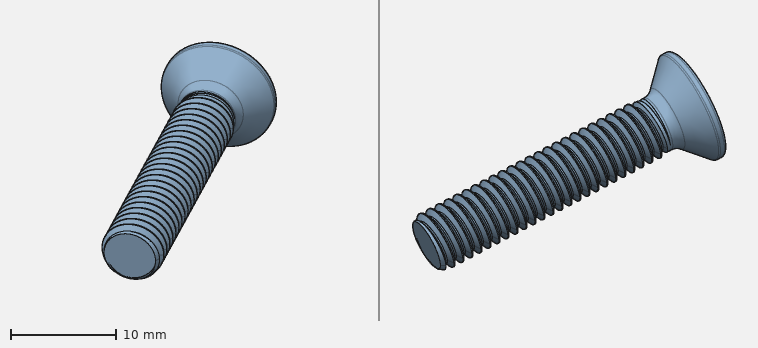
import cadquery as cq
import math

screw_length = 30.0

head_radius = 5.65
rim_height = 0.82
rim_top_round = 0.28
rim_bottom_round = 0.23
cone_half_angle = math.radians(45)
neck_radius = 2.8
neck_fillet_end = 4.3

thread_radius = 3.0
pitch = 1.0
flank_half_angle = math.radians(30)
thread_triangle_height = pitch * math.sqrt(3) / 2
thread_depth = 17 / 24 * thread_triangle_height
root_radius = thread_radius - thread_depth
crest_flat = pitch / 8
crest_phase = 0.29 * pitch
ridge_embed = 0.1
turns_per_segment = 1
crest_clearance = 0.2

runout_start = 4.55
runout_step = 4.83
runout_step_radius = 2.7
runout_end = 5.0

lead_in_start = 5.2
lead_in_slope = 0.5

tip_radius = 2.55
tip_chamfer_angle = math.radians(30)


def revolve_about_axis(profile):
    """Close a half profile and turn it about the screw axis."""
    return profile.close().revolve(360, (0, 0, 0), (0, 1, 0))


def make_core():
    """Head, neck and thread core, without the thread ridge."""
    corner_depth = rim_height + (head_radius - neck_radius) / math.tan(cone_half_angle)
    tangent_length = neck_fillet_end - corner_depth
    fillet_radius = tangent_length / math.tan(cone_half_angle / 2)
    cone_end_radius = neck_radius + tangent_length * math.sin(cone_half_angle)
    cone_end_depth = corner_depth - tangent_length * math.cos(cone_half_angle)
    fillet_mid_radius = neck_radius + fillet_radius * (1 - math.cos(cone_half_angle / 2))
    fillet_mid_depth = neck_fillet_end - fillet_radius * math.sin(cone_half_angle / 2)
    core = revolve_about_axis(
        cq.Workplane("XY")
        .lineTo(head_radius, 0)
        .lineTo(head_radius, -rim_height)
        .lineTo(cone_end_radius, -cone_end_depth)
        .threePointArc((fillet_mid_radius, -fillet_mid_depth), (neck_radius, -neck_fillet_end))
        .lineTo(neck_radius, -runout_start)
        .lineTo(runout_step_radius, -runout_step)
        .lineTo(root_radius, -runout_end)
        .lineTo(root_radius, -screw_length)
        .lineTo(0, -screw_length)
    )
    core = core.faces(">Y").edges().fillet(rim_top_round)
    rim_bottom = cq.selectors.NearestToPointSelector((0, -rim_height, head_radius))
    return core.edges(rim_bottom).fillet(rim_bottom_round)


def make_envelope():
    """Space the thread ridge may fill, bounded by the neck, the lead-in cone and the tip chamfer."""
    clear_radius = thread_radius + crest_clearance
    lead_in_length = (clear_radius - neck_radius) / lead_in_slope
    tip_chamfer_length = (clear_radius - tip_radius) / math.tan(tip_chamfer_angle)
    return revolve_about_axis(
        cq.Workplane("XY")
        .moveTo(0, -runout_start)
        .lineTo(neck_radius, -runout_start)
        .lineTo(neck_radius, -lead_in_start)
        .lineTo(clear_radius, -lead_in_start - lead_in_length)
        .lineTo(clear_radius, -screw_length + tip_chamfer_length)
        .lineTo(tip_radius, -screw_length)
        .lineTo(0, -screw_length)
    )


def helix_at(radius, offset):
    """Helix edge of one ridge segment, raised along +Z by the offset."""
    return cq.Wire.makeHelix(pitch, turns_per_segment * pitch, radius).translate(cq.Vector(0, 0, offset))


def make_ridge_segment():
    """A short length of the thread ridge about +Z, with helical faces between the profile corners."""
    inner_radius = root_radius - ridge_embed
    crest_half = crest_flat / 2
    base_half = crest_half + (thread_radius - inner_radius) * math.tan(flank_half_angle)
    corners = [
        (inner_radius, -base_half),
        (thread_radius, -crest_half),
        (thread_radius, crest_half),
        (inner_radius, base_half),
    ]
    helices = [helix_at(radius, offset) for radius, offset in corners]
    following = helices[1:] + helices[:1]
    faces = [cq.Face.makeRuledSurface(first, second) for first, second in zip(helices, following)]
    for end_height in (0, turns_per_segment * pitch):
        points = [cq.Vector(radius, 0, offset + end_height) for radius, offset in corners]
        faces.append(cq.Face.makeFromWires(cq.Wire.makePolygon(points, close=True)))
    segment = cq.Solid.makeSolid(cq.Shell.makeShell(faces))
    return cq.Workplane(segment).rotate((0, 0, 0), (1, 0, 0), -90)


def add_thread(screw):
    """Stack ridge segments from just beyond the tip up to the neck and join them to the screw."""
    segment = make_ridge_segment()
    envelope = make_envelope()
    segment_length = turns_per_segment * pitch
    ridge_start = -screw_length + crest_phase - pitch
    segment_count = math.ceil((-runout_start - ridge_start) / segment_length)
    pieces = []
    for index in range(segment_count):
        placed = segment.translate((0, ridge_start + index * segment_length, 0))
        pieces.append(placed.intersect(envelope).val())
    return cq.Workplane(screw.val().fuse(*pieces).clean()).solids()


result = add_thread(make_core())